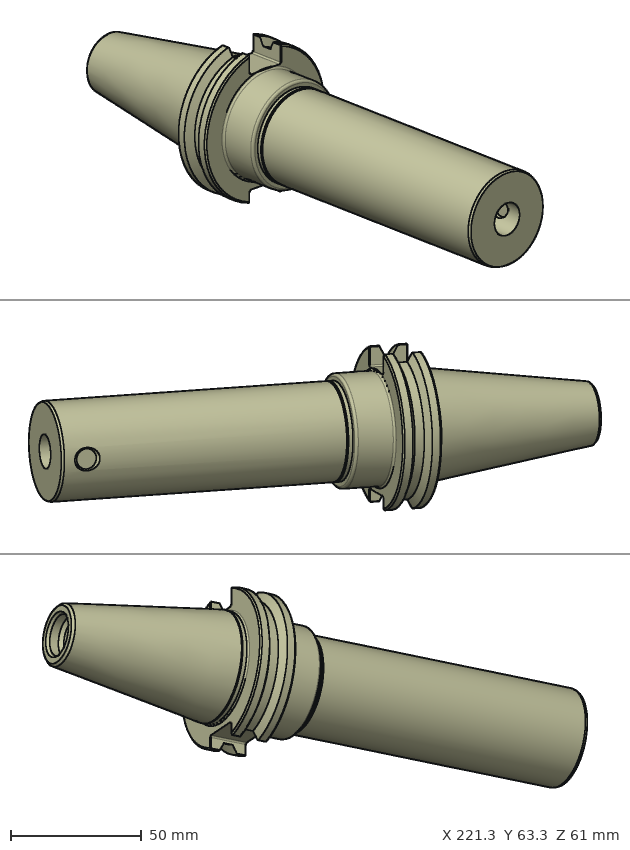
import cadquery as cq
import math


overall_length = 221.3
taper_length = 68.4
flange_start = 71.5
flange_width = 15.7
flange_end = flange_start + flange_width
flange_middle = flange_start + flange_width / 2
collar_end = 103.3
relief_start = 105.0
relief_width = 0.7
relief_end = relief_start + relief_width

taper_diameter = 44.5
neck_diameter = 44.0
flange_diameter = 63.3
collar_diameter = taper_diameter
shank_diameter = 39.0
relief_diameter = 38.5

taper_ratio = 7 / 24
tip_diameter = taper_diameter - taper_length * taper_ratio

tip_chamfer_length = 1.0
tip_face_diameter = 22.8
flange_chamfer = 0.7
neck_step_length = 0.7
neck_fillet = 0.7
collar_fillet = 0.9
collar_rounding = 1.0
shank_chamfer_length = 1.0
shank_chamfer_depth = 0.5

groove_depth = 3.5
groove_floor_width = 3.8
groove_wall_angle = 30.0

slot_width = 16.2
top_slot_floor = 22.5
bottom_slot_floor = 25.0
slot_corner_fillet = 0.7
slot_edge_chamfer = 0.5

bore_diameter = 13.3
entry_diameter = 16.4
entry_depth = 5.0
entry_mouth_diameter = 18.0
entry_mouth_depth = 1.3
entry_cone_length = (entry_diameter - bore_diameter) / 2

screw_diameter = 8.0
screw_hole_mouth_diameter = 10.2
screw_position = 210.9
screw_inner_end = 7.0
screw_outer_end = 18.4


def revolve_about_x(profile):
    """Turn a closed XY profile a full revolution about the X axis."""
    return profile.close().revolve(360, (0, 0, 0), (1, 0, 0))


def turned_holder():
    """Taper, neck, flange, collar and shank as one solid turning."""
    tip_chamfer_radius = (tip_diameter + tip_chamfer_length * taper_ratio) / 2
    neck_radius = neck_diameter / 2
    flange_radius = flange_diameter / 2
    collar_radius = collar_diameter / 2
    shank_radius = shank_diameter / 2
    return revolve_about_x(
        cq.Workplane("XY")
        .moveTo(0, 0)
        .lineTo(0, tip_face_diameter / 2)
        .lineTo(tip_chamfer_length, tip_chamfer_radius)
        .lineTo(taper_length, taper_diameter / 2)
        .lineTo(taper_length + neck_step_length, neck_radius)
        .lineTo(flange_start - neck_fillet, neck_radius)
        .radiusArc((flange_start, neck_radius + neck_fillet), -neck_fillet)
        .lineTo(flange_start, flange_radius - flange_chamfer)
        .lineTo(flange_start + flange_chamfer, flange_radius)
        .lineTo(flange_end - flange_chamfer, flange_radius)
        .lineTo(flange_end, flange_radius - flange_chamfer)
        .lineTo(flange_end, collar_radius + collar_fillet)
        .radiusArc((flange_end + collar_fillet, collar_radius), -collar_fillet)
        .lineTo(collar_end - collar_rounding, collar_radius)
        .radiusArc((collar_end, collar_radius - collar_rounding), collar_rounding)
        .lineTo(collar_end, shank_radius)
        .lineTo(relief_start, shank_radius)
        .lineTo(relief_start, relief_diameter / 2)
        .lineTo(relief_end, relief_diameter / 2)
        .lineTo(relief_end, shank_radius)
        .lineTo(overall_length - shank_chamfer_length, shank_radius)
        .lineTo(overall_length, shank_radius - shank_chamfer_depth)
        .lineTo(overall_length, 0)
    )


def gripper_groove():
    """Ring with sloping walls and a flat floor, centred on the flange."""
    flange_radius = flange_diameter / 2
    floor_half_width = groove_floor_width / 2
    top_half_width = floor_half_width + groove_depth * math.tan(math.radians(groove_wall_angle))
    return revolve_about_x(
        cq.Workplane("XY")
        .moveTo(flange_middle - top_half_width, flange_radius)
        .lineTo(flange_middle - floor_half_width, flange_radius - groove_depth)
        .lineTo(flange_middle + floor_half_width, flange_radius - groove_depth)
        .lineTo(flange_middle + top_half_width, flange_radius)
    )


def drive_slot(floor_height, side):
    """Slot through the flange along X with rounded floor corners; side is 1 for +Z and -1 for -Z."""
    depth = flange_diameter / 2 - floor_height
    return (
        cq.Workplane("XY")
        .box(flange_width, slot_width, depth)
        .edges("|X")
        .edges("<Z" if side > 0 else ">Z")
        .fillet(slot_corner_fillet)
        .translate((flange_middle, 0, side * (floor_height + depth / 2)))
    )


def slot_rim_chamfers(side):
    """Wedge along X that breaks the edges between the slot walls and the flange rim."""
    wall = slot_width / 2
    rim_height = math.sqrt((flange_diameter / 2) ** 2 - wall**2)
    top_height = flange_diameter / 2
    foot_height = rim_height - slot_edge_chamfer
    top_half_width = wall + top_height - foot_height
    return (
        cq.Workplane("YZ", origin=(flange_start, 0, 0))
        .moveTo(-wall, side * foot_height)
        .lineTo(wall, side * foot_height)
        .lineTo(top_half_width, side * top_height)
        .lineTo(-top_half_width, side * top_height)
        .close()
        .extrude(flange_width)
    )


def slot_face_chamfers(floor_height, side):
    """Waisted prism along Z that breaks the edges between the slot walls and the flange faces."""
    wall = slot_width / 2
    mouth = wall + slot_edge_chamfer
    foot_height = floor_height + slot_corner_fillet
    return (
        cq.Workplane("XY", origin=(0, 0, side * foot_height))
        .moveTo(flange_start, -mouth)
        .lineTo(flange_start + slot_edge_chamfer, -wall)
        .lineTo(flange_end - slot_edge_chamfer, -wall)
        .lineTo(flange_end, -mouth)
        .lineTo(flange_end, mouth)
        .lineTo(flange_end - slot_edge_chamfer, wall)
        .lineTo(flange_start + slot_edge_chamfer, wall)
        .lineTo(flange_start, mouth)
        .close()
        .extrude(side * (flange_diameter / 2 - foot_height))
    )


def axial_bore():
    """Through bore with a chamfered entry that tapers down to it."""
    return revolve_about_x(
        cq.Workplane("XY")
        .moveTo(0, 0)
        .lineTo(0, entry_mouth_diameter / 2)
        .lineTo(entry_mouth_depth, entry_diameter / 2)
        .lineTo(entry_depth, entry_diameter / 2)
        .lineTo(entry_depth + entry_cone_length, bore_diameter / 2)
        .lineTo(overall_length, bore_diameter / 2)
        .lineTo(overall_length, 0)
    )


def screw_hole():
    """Hole from the bore to the +Y side, with a 45 degree countersink at the shank surface."""
    surface = shank_diameter / 2
    hole_radius = screw_diameter / 2
    mouth_radius = screw_hole_mouth_diameter / 2
    countersink_depth = mouth_radius - hole_radius
    return (
        cq.Workplane("XY", origin=(screw_position, 0, 0))
        .lineTo(hole_radius, 0)
        .lineTo(hole_radius, surface - countersink_depth)
        .lineTo(mouth_radius, surface)
        .lineTo(0, surface)
        .close()
        .revolve(360, (0, 0, 0), (0, 1, 0))
    )


def make_holder():
    body = turned_holder().cut(gripper_groove())
    for floor_height, side in ((top_slot_floor, 1), (bottom_slot_floor, -1)):
        body = (
            body.cut(drive_slot(floor_height, side))
            .cut(slot_rim_chamfers(side))
            .cut(slot_face_chamfers(floor_height, side))
        )
    return body.cut(axial_bore()).cut(screw_hole())


def make_clamping_screw():
    """Plain cylinder along Y that fills the screw hole below the countersink."""
    return (
        cq.Workplane("XZ", origin=(screw_position, screw_inner_end, 0))
        .circle(screw_diameter / 2)
        .extrude(screw_inner_end - screw_outer_end)
    )


holder = make_holder()
clamping_screw = make_clamping_screw()
result = cq.Compound.makeCompound([holder.val(), clamping_screw.val()])